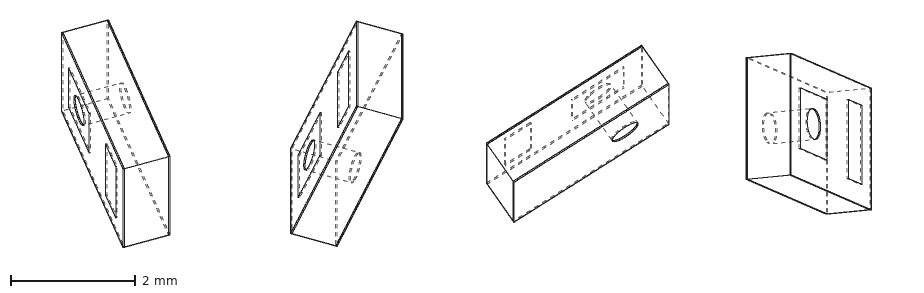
import cadquery as cq

board_length = 3.0
board_depth = 0.8
board_height = 2.0
layer_thickness = 0.025

edge_margin = 0.35
square_pad_side = 1.0
strip_pad_width = 0.5
strip_pad_height = board_height - 2 * edge_margin
hole_diameter = 0.5

front_y = -board_depth / 2
core_depth = board_depth - 2 * layer_thickness
core_y = front_y + layer_thickness
back_layer_y = core_y + core_depth
square_pad_x = -board_length / 2 + edge_margin + square_pad_side / 2
strip_pad_x = board_length / 2 - edge_margin - strip_pad_width / 2


def plate(width, height, thickness, y_start, x_centre=0.0):
    """Rectangular plate extending toward +Y from y_start."""
    return (
        cq.Workplane("XY")
        .box(width, thickness, height, centered=(True, False, True))
        .translate((x_centre, y_start, 0))
    )


def drilled(body):
    """Body with the through hole cut along Y at the square pad's centre."""
    drill = (
        cq.Workplane("XZ", origin=(square_pad_x, 0, 0))
        .circle(hole_diameter / 2)
        .extrude(board_depth, both=True)
    )
    return body.cut(drill)


def make_core():
    return drilled(plate(board_length, board_height, core_depth, core_y))


def make_back_layer():
    return drilled(plate(board_length, board_height, layer_thickness, back_layer_y))


def square_pad_blank():
    return plate(square_pad_side, square_pad_side, layer_thickness, front_y, square_pad_x)


def make_square_pad():
    return drilled(square_pad_blank())


def make_strip_pad():
    return plate(strip_pad_width, strip_pad_height, layer_thickness, front_y, strip_pad_x)


def make_front_layer():
    """Front cover with a window that fits each pad."""
    cover = plate(board_length, board_height, layer_thickness, front_y)
    return cover.cut(square_pad_blank()).cut(make_strip_pad())


core = make_core()
back_layer = make_back_layer()
front_layer = make_front_layer()
square_pad = make_square_pad()
strip_pad = make_strip_pad()

result = cq.Compound.makeCompound(
    [core.val(), back_layer.val(), front_layer.val(), square_pad.val(), strip_pad.val()]
)